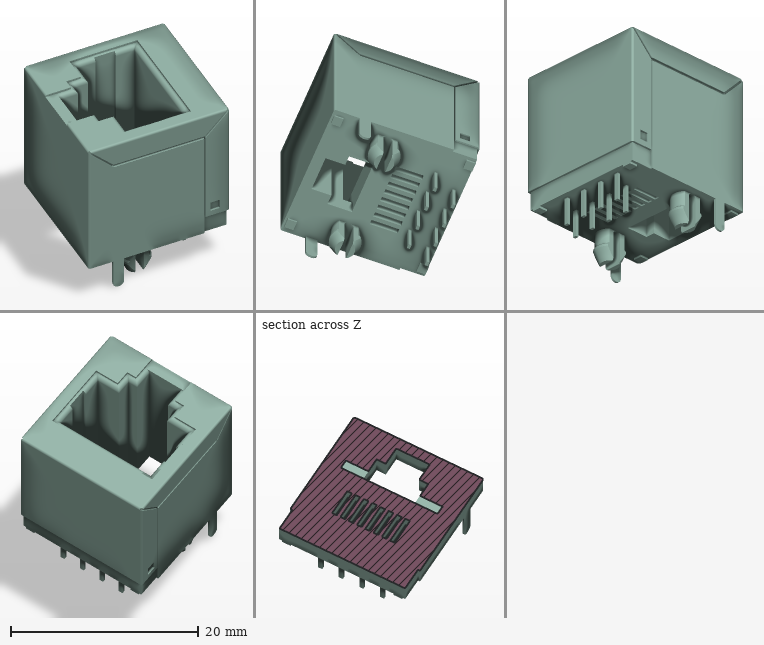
import cadquery as cq
import math

WIDTH = 16.0
DEPTH = 16.7
HEIGHT = 16.25
TOTAL_HEIGHT = 19.9
SHEET = 0.25
LEG_LENGTH = TOTAL_HEIGHT - HEIGHT
HALF_W = WIDTH / 2
HALF_D = DEPTH / 2
CORE_HALF_W = HALF_W - SHEET
CORE_HALF_D = HALF_D - SHEET
CORE_TOP = HEIGHT - SHEET

OPENING_BACK = 3.84
BODY_HALF_W, BODY_FRONT = 5.93, -3.02
SHOULDER_HALF_W, SHOULDER_FRONT = 3.16, -4.78
LATCH_HALF_W, LATCH_FRONT = 2.04, -7.04
MOUTH_RADIUS = 0.5
BODY_CLEARANCE = 0.62
STEP_CLEARANCE = 0.56
FLOOR_Z = 4.0
FLOOR_FRONT = -2.0
LEDGE_Z = 2.0
RELIEF_HALF_W = 6.27
RELIEF_FRONT, RELIEF_BACK = -0.8, 1.62

CONTACTS = 8
SLOT_PITCH = 1.02
SLOT_WIDTH = 0.53
SLOT_FRONT, SLOT_BACK = 0.32, 3.52
PIN_PITCH = 1.27
PIN_WIDTH = 0.5
PIN_THICKNESS = 0.35
PIN_LENGTH = 3.2
PIN_BACK_Y = 7.12
PIN_FRONT_Y = PIN_BACK_Y - 2 * PIN_PITCH

SEAM_INSET = 2.92
SEAM_TOP_WIDTH = 0.34
SEAM_BACK_WIDTH = 0.17
SEAM_MITRE_WIDTH = 0.25
MITRE_ANGLE = 45
BACK_PANEL_BOTTOM = 2.2
WINDOW_SIZE = 1.12
WINDOW_Y, WINDOW_Z = 6.62, 3.43

LEG_WIDTH = 1.3
LEG_Y = -4.81
LEG_END_RADIUS = 0.6
PEG_X, PEG_Y = 5.73, -1.76
PEG_RADIUS = 1.58
BARB_RADIUS = 1.75
PEG_TIP_RADIUS = 1.08
BARB_START, BARB_TOP, BARB_BOTTOM = -1.75, -1.93, -2.2
PEG_THICKNESS = 2.24
PEG_GAP = 1.0
PEG_GAP_RADIUS = 0.35
STANDOFF_SIZE = 1.05
STANDOFF_HEIGHT = 0.25
STANDOFF_OUTER_X = 7.38


def box(x0, x1, y0, y1, z0, z1):
    """Box between the given limits."""
    return cq.Workplane("XY").box(x1 - x0, y1 - y0, z1 - z0, centered=False).translate((x0, y0, z0))


def opening(body_gap, step_gap, front, z0, z1):
    """Stepped plug opening, widened by a gap around its body and by another at its steps."""
    body = BODY_HALF_W + body_gap
    shoulder = SHOULDER_HALF_W + step_gap
    latch = LATCH_HALF_W + step_gap
    right_half = [
        (latch, front),
        (latch, SHOULDER_FRONT - step_gap),
        (shoulder, SHOULDER_FRONT - step_gap),
        (shoulder, BODY_FRONT - step_gap),
        (body, BODY_FRONT - step_gap),
        (body, OPENING_BACK + body_gap),
    ]
    left_half = [(-x, y) for x, y in reversed(right_half)]
    outline = cq.Workplane("XY").workplane(offset=z0).polyline(right_half + left_half).close()
    return outline.extrude(z1 - z0)


def centred_row(pitch):
    """X positions of the contacts at the given pitch."""
    return [(i - (CONTACTS - 1) / 2) * pitch for i in range(CONTACTS)]


def make_core():
    """Plastic housing with the rounded plug opening."""
    core = box(-CORE_HALF_W, CORE_HALF_W, -CORE_HALF_D, CORE_HALF_D, 0, CORE_TOP)
    core = core.cut(opening(0, 0, LATCH_FRONT, FLOOR_Z, CORE_TOP))

    margin = MOUTH_RADIUS / 2
    mouth = cq.selectors.BoxSelector(
        (-BODY_HALF_W - margin, LATCH_FRONT + margin, CORE_TOP - margin),
        (BODY_HALF_W + margin, OPENING_BACK + margin, CORE_TOP + margin),
    )
    core = core.edges(mouth).fillet(MOUTH_RADIUS)

    core = core.cut(box(-RELIEF_HALF_W, RELIEF_HALF_W, RELIEF_FRONT, RELIEF_BACK, FLOOR_Z, CORE_TOP))
    core = core.cut(box(-BODY_HALF_W, BODY_HALF_W, BODY_FRONT, FLOOR_FRONT, LEDGE_Z, FLOOR_Z))
    core = core.cut(box(-SHOULDER_HALF_W, SHOULDER_HALF_W, SHOULDER_FRONT, FLOOR_FRONT, 0, FLOOR_Z))
    core = core.cut(box(-LATCH_HALF_W, LATCH_HALF_W, LATCH_FRONT, SHOULDER_FRONT, 0, FLOOR_Z))
    for x in centred_row(SLOT_PITCH):
        core = core.cut(box(x - SLOT_WIDTH / 2, x + SLOT_WIDTH / 2, SLOT_FRONT, SLOT_BACK, 0, FLOOR_Z))
    return core


def side_seams():
    """Seam cutter for both side walls, no deeper than the sheet."""
    seam_y = HALF_D - SEAM_INSET
    seam_z = HEIGHT - SEAM_INSET
    mitre_length = SEAM_INSET * math.sqrt(2)
    top = box(-HALF_W, HALF_W, -seam_y, seam_y, seam_z - SEAM_TOP_WIDTH / 2, seam_z + SEAM_TOP_WIDTH / 2)
    back = box(
        -HALF_W, HALF_W,
        seam_y - SEAM_BACK_WIDTH / 2, seam_y + SEAM_BACK_WIDTH / 2,
        BACK_PANEL_BOTTOM, seam_z,
    )
    seams = top.union(back)
    for side in (-1, 1):
        mitre = cq.Workplane("XY").box(WIDTH, mitre_length, SEAM_MITRE_WIDTH)
        mitre = mitre.rotate((0, 0, 0), (1, 0, 0), side * MITRE_ANGLE)
        mitre = mitre.translate((0, side * (HALF_D - SEAM_INSET / 2), HEIGHT - SEAM_INSET / 2))
        seams = seams.union(mitre)
    inside = box(-CORE_HALF_W, CORE_HALF_W, -HALF_D - SHEET, HALF_D + SHEET, 0, HEIGHT + SHEET)
    return seams.cut(inside)


def make_shield():
    """Folded sheet around the housing, open at the bottom."""
    shield = box(-HALF_W, HALF_W, -HALF_D, HALF_D, 0, HEIGHT)
    shield = shield.edges("|Z or >Z").fillet(SHEET)
    shield = shield.cut(box(-CORE_HALF_W, CORE_HALF_W, -CORE_HALF_D, CORE_HALF_D, 0, CORE_TOP))
    shield = shield.cut(opening(BODY_CLEARANCE, STEP_CLEARANCE, -HALF_D, CORE_TOP, HEIGHT))

    panel_edge = HALF_D - SEAM_INSET - SEAM_BACK_WIDTH / 2
    shield = shield.cut(box(-HALF_W, HALF_W, panel_edge, HALF_D, 0, BACK_PANEL_BOTTOM))

    window = cq.Workplane("XY").box(WIDTH, WINDOW_SIZE, WINDOW_SIZE)
    shield = shield.cut(window.translate((0, WINDOW_Y, WINDOW_Z)))
    return shield.cut(side_seams())


def make_leg(side):
    """Flat shield leg with a rounded end; side is -1 or 1."""
    leg = cq.Workplane("XY").box(SHEET, LEG_WIDTH, LEG_LENGTH)
    leg = leg.edges("|X and <Z").fillet(LEG_END_RADIUS)
    return leg.translate((side * (HALF_W - SHEET / 2), LEG_Y, -LEG_LENGTH / 2))


def make_peg(side):
    """Split snap peg with a barb and flattened flanks; side is -1 or 1."""
    profile = [
        (0, 0),
        (PEG_RADIUS, 0),
        (PEG_RADIUS, BARB_START),
        (BARB_RADIUS, BARB_TOP),
        (BARB_RADIUS, BARB_BOTTOM),
        (PEG_TIP_RADIUS, -LEG_LENGTH),
        (0, -LEG_LENGTH),
    ]
    peg = cq.Workplane("XZ").polyline(profile).close().revolve(360, (0, 0, 0), (0, 1, 0))
    flanks = cq.Workplane("XY").box(PEG_THICKNESS, 2 * BARB_RADIUS, 2 * LEG_LENGTH)
    gap = cq.Workplane("XY").box(PEG_THICKNESS, PEG_GAP, LEG_LENGTH).translate((0, 0, -LEG_LENGTH / 2))
    gap = gap.edges("|X and >Z").fillet(PEG_GAP_RADIUS)
    return peg.intersect(flanks).cut(gap).translate((side * PEG_X, PEG_Y, 0))


def make_pin(index, x):
    """Solder pin; neighbouring pins alternate between two rows."""
    y = PIN_BACK_Y if index % 2 == 0 else PIN_FRONT_Y
    pin = cq.Workplane("XY").box(PIN_WIDTH, PIN_THICKNESS, PIN_LENGTH)
    return pin.translate((x, y, -PIN_LENGTH / 2))


def make_standoff(side, end):
    """Square foot under one corner; side and end are -1 or 1."""
    foot = cq.Workplane("XY").box(STANDOFF_SIZE, STANDOFF_SIZE, STANDOFF_HEIGHT)
    x = side * (STANDOFF_OUTER_X - STANDOFF_SIZE / 2)
    y = end * (CORE_HALF_D - STANDOFF_SIZE / 2)
    return foot.translate((x, y, -STANDOFF_HEIGHT / 2))


result = make_core().union(make_shield())
for side in (-1, 1):
    result = result.union(make_leg(side)).union(make_peg(side))
    for end in (-1, 1):
        result = result.union(make_standoff(side, end))
for index, x in enumerate(centred_row(PIN_PITCH)):
    result = result.union(make_pin(index, x))